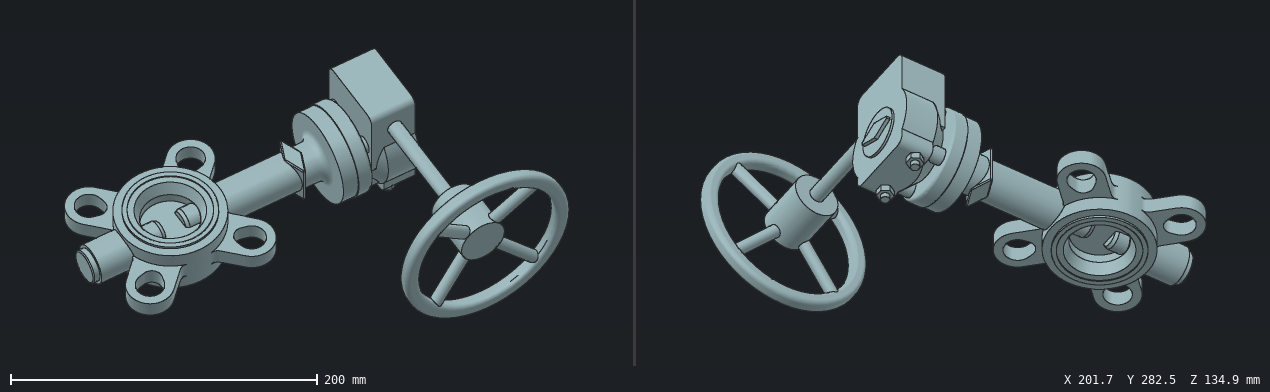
import cadquery as cq
import math


BORE_AXIS = ((0, 0, 0), (0, 0, 1))
STEM_AXIS = ((0, 0, 0), (0, 1, 0))
TOLERANCE = 0.03

BODY_RADIUS = 37.5
BODY_HALF_HEIGHT = 16.7
SEAT_RADIUS = 31.5
SEAT_HALF_HEIGHT = 18.5
LINER_RADIUS = 28.2
LINER_HALF_HEIGHT = 17.5
BORE_MOUTH_RADIUS = 23.7
BORE_RADIUS = 20.0
BORE_HALF_HEIGHT = 9.0

LUG_OFFSET = 38.7
LUG_DIRECTIONS = (45, 135, 225, 315)
LUG_RADIUS = 16.0
LUG_THICKNESS = 12.0
LUG_ROOT_FILLET = 6.0
LUG_HOLE_RADIUS = 9.5
LUG_HOLE_INNER_RADIUS = 7.0
LUG_HOLE_INNER_SHIFT = 4.8

DISC_HALF_THICKNESS = 2.4
STEM_RADIUS = 8.8
STEM_END = 7.5
STEM_CHAMFER_LENGTH = 2.5
STEM_CHAMFER_DEPTH = 1.0

NECK_RADIUS = 14.0
NECK_BOTTOM = -60.7
PLUG_RADIUS = 12.0
PLUG_BOTTOM = -65.5
PLUG_CHAMFER = 0.8
NECK_FLANGE_RADIUS = 32.8
NECK_FLANGE_BOTTOM = 112.2
FLANGE_JOINT = 123.5
NECK_FILLET = 6.0

DIAMOND_HALF_LENGTH = 15.0
DIAMOND_HALF_WIDTH = 6.8
DIAMOND_TIP_HALF_WIDTH = 0.8
NECK_DIAMOND_Y = 93.2
NECK_DIAMOND_HALF_HEIGHT = 14.7
NECK_DIAMOND_CHAMFER = 0.8

MOUNT_RADIUS = 33.5
MOUNT_TOP = 134.5
MOUNT_FILLET = 2.4
PAD_RADIUS = 6.0
PAD_OFFSET = 18.0

BOX_HALF_LENGTH = 27.0
BOX_FRONT = 137.0
BOX_BACK = 170.3
BOX_TOP = 52.3
BOX_BOTTOM = -29.5
BOX_CORNER = 6.0
HUB_RADIUS = 32.8
HUB_FRONT = 146.3
CAP_RADIUS = 17.5
CAP_BACK = 172.0
INDICATOR_BACK = 174.5

SHAFT_Y = 154.5
SHAFT_Z = 34.5
SHAFT_RADIUS = 5.5

NUT_OFFSET = 18.0
NUT_RADIUS = 6.0
NUT_HEIGHT = 4.8
STUD_RADIUS = 3.0
STUD_END = -37.9

WHEEL_RADIUS = 62.5
RIM_SIZE = 10.5
RIM_FILLET = 3.5
WHEEL_FACE = 147.0
WHEEL_HUB_RADIUS = 16.5
WHEEL_HUB_START = 101.0
WHEEL_HUB_END = 139.3
SPOKE_RADIUS = 4.5
SPOKE_LEAN = 10
FIRST_SPOKE = 45
SPOKE_COUNT = 4


def cylinder_y(radius, start, end, x=0, z=0):
    """Cylinder along Y between two Y positions."""
    plane = cq.Workplane("XZ", origin=(0, start, 0))
    return plane.center(x, z).circle(radius).extrude(start - end)


def cylinder_x(radius, start, end, y, z):
    """Cylinder along X between two X positions."""
    return cq.Workplane("YZ", origin=(start, y, z)).circle(radius).extrude(end - start)


def cylinder_z(radius, half_height):
    """Cylinder along Z, centred on the origin."""
    return cq.Workplane("XY").circle(radius).extrude(half_height, both=True)


def diamond(workplane):
    """Diamond outline with its long diagonal along X and narrow square ends."""
    return workplane.polyline([
        (-DIAMOND_HALF_LENGTH, -DIAMOND_TIP_HALF_WIDTH),
        (-DIAMOND_HALF_LENGTH, DIAMOND_TIP_HALF_WIDTH),
        (0, DIAMOND_HALF_WIDTH),
        (DIAMOND_HALF_LENGTH, DIAMOND_TIP_HALF_WIDTH),
        (DIAMOND_HALF_LENGTH, -DIAMOND_TIP_HALF_WIDTH),
        (0, -DIAMOND_HALF_WIDTH),
    ]).close()


def make_lugged_body():
    """Round body with four lugs, rounded where the lug sides run into it."""
    reach = LUG_OFFSET * math.sqrt(2)
    body = cylinder_z(BODY_RADIUS, BODY_HALF_HEIGHT)
    for direction in LUG_DIRECTIONS:
        arm = cq.Workplane("XY").center(reach / 2, 0).rect(reach, 2 * LUG_RADIUS)
        arm = arm.extrude(LUG_THICKNESS / 2, both=True)
        tip = cylinder_z(LUG_RADIUS, LUG_THICKNESS / 2).translate((reach, 0, 0))
        body = body.union(arm.union(tip).rotate(*BORE_AXIS, direction))

    roots = []
    for edge in body.edges("|Z").vals():
        middle = edge.Center()
        on_body = abs(math.hypot(middle.x, middle.y) - BODY_RADIUS) < TOLERANCE
        if on_body and edge.Length() < LUG_THICKNESS + TOLERANCE:
            roots.append(edge)
    return body.newObject(roots).fillet(LUG_ROOT_FILLET)


def make_lug_holes():
    """Egg-shaped holes: two circles and their tangents, the smaller circle nearer to the bore."""
    outer_x = LUG_OFFSET * math.sqrt(2)
    inner_x = outer_x - LUG_HOLE_INNER_SHIFT
    tangent_cos = (LUG_HOLE_RADIUS - LUG_HOLE_INNER_RADIUS) / LUG_HOLE_INNER_SHIFT
    tangent_sin = math.sqrt(1 - tangent_cos**2)
    outer_tangent = (outer_x - LUG_HOLE_RADIUS * tangent_cos, LUG_HOLE_RADIUS * tangent_sin)
    inner_tangent = (inner_x - LUG_HOLE_INNER_RADIUS * tangent_cos, LUG_HOLE_INNER_RADIUS * tangent_sin)
    hole = (
        cq.Workplane("XY")
        .moveTo(inner_tangent[0], -inner_tangent[1])
        .lineTo(outer_tangent[0], -outer_tangent[1])
        .threePointArc((outer_x + LUG_HOLE_RADIUS, 0), outer_tangent)
        .lineTo(*inner_tangent)
        .threePointArc((inner_x - LUG_HOLE_INNER_RADIUS, 0), (inner_tangent[0], -inner_tangent[1]))
        .close()
        .extrude(LUG_THICKNESS, both=True)
    )
    return [hole.rotate(*BORE_AXIS, direction) for direction in LUG_DIRECTIONS]


def make_bore():
    """Bore with a shallow recess and a tapered mouth at both ends."""
    return (
        cq.Workplane("XZ")
        .polyline([
            (0, -SEAT_HALF_HEIGHT),
            (LINER_RADIUS, -SEAT_HALF_HEIGHT),
            (LINER_RADIUS, -LINER_HALF_HEIGHT),
            (BORE_MOUTH_RADIUS, -LINER_HALF_HEIGHT),
            (BORE_RADIUS, -BORE_HALF_HEIGHT),
            (BORE_RADIUS, BORE_HALF_HEIGHT),
            (BORE_MOUTH_RADIUS, LINER_HALF_HEIGHT),
            (LINER_RADIUS, LINER_HALF_HEIGHT),
            (LINER_RADIUS, SEAT_HALF_HEIGHT),
            (0, SEAT_HALF_HEIGHT),
        ])
        .close()
        .revolve()
    )


def make_stem_end():
    """Chamfered stem stub that reaches from the neck into the bore on the +Y side."""
    return (
        cq.Workplane("XY")
        .polyline([
            (0, STEM_END),
            (STEM_RADIUS - STEM_CHAMFER_DEPTH, STEM_END),
            (STEM_RADIUS, STEM_END + STEM_CHAMFER_LENGTH),
            (STEM_RADIUS, BODY_RADIUS),
            (0, BODY_RADIUS),
        ])
        .close()
        .revolve(360, *STEM_AXIS)
    )


def make_neck():
    """Neck with its end plug, its flange and the rounded corner below the flange."""
    return (
        cq.Workplane("XY")
        .moveTo(0, PLUG_BOTTOM)
        .lineTo(PLUG_RADIUS - PLUG_CHAMFER, PLUG_BOTTOM)
        .lineTo(PLUG_RADIUS, PLUG_BOTTOM + PLUG_CHAMFER)
        .lineTo(PLUG_RADIUS, NECK_BOTTOM)
        .lineTo(NECK_RADIUS, NECK_BOTTOM)
        .lineTo(NECK_RADIUS, NECK_FLANGE_BOTTOM - NECK_FILLET)
        .radiusArc((NECK_RADIUS + NECK_FILLET, NECK_FLANGE_BOTTOM), NECK_FILLET)
        .lineTo(NECK_FLANGE_RADIUS, NECK_FLANGE_BOTTOM)
        .lineTo(NECK_FLANGE_RADIUS, FLANGE_JOINT)
        .lineTo(0, FLANGE_JOINT)
        .close()
        .revolve(360, *STEM_AXIS)
    )


def make_valve():
    plaque = diamond(cq.Workplane("XY", origin=(0, NECK_DIAMOND_Y, 0)))
    plaque = plaque.extrude(NECK_DIAMOND_HALF_HEIGHT, both=True)
    plaque = plaque.faces("<Z or >Z").edges().chamfer(NECK_DIAMOND_CHAMFER)

    valve = make_lugged_body()
    valve = valve.union(cylinder_z(SEAT_RADIUS, SEAT_HALF_HEIGHT))
    valve = valve.union(make_neck()).union(plaque)
    for hole in make_lug_holes():
        valve = valve.cut(hole)
    valve = valve.cut(make_bore())

    stem_end = make_stem_end()
    valve = valve.union(cylinder_z(BORE_RADIUS, DISC_HALF_THICKNESS))
    return valve.union(stem_end).union(stem_end.mirror("XZ"))


def make_gearbox():
    """Gear housing on its mounting flange, with cap, indicator and four pads."""
    mount = cylinder_y(MOUNT_RADIUS, FLANGE_JOINT, MOUNT_TOP).faces(">Y").edges().fillet(MOUNT_FILLET)

    box = (
        cq.Workplane("XY")
        .box(2 * BOX_HALF_LENGTH, BOX_BACK - BOX_FRONT, BOX_TOP - BOX_BOTTOM, centered=(True, False, False))
        .translate((0, BOX_FRONT, BOX_BOTTOM))
        .edges("|Y")
        .fillet(BOX_CORNER)
    )
    step = (
        cq.Workplane("XY")
        .box(2 * BOX_HALF_LENGTH, HUB_FRONT - BOX_FRONT, -BOX_BOTTOM, centered=(True, False, False))
        .translate((0, BOX_FRONT, BOX_BOTTOM))
    )

    hub = (
        cq.Workplane("XY")
        .polyline([
            (0, MOUNT_TOP),
            (HUB_RADIUS - (HUB_FRONT - MOUNT_TOP), MOUNT_TOP),
            (HUB_RADIUS, HUB_FRONT),
            (HUB_RADIUS, BOX_BACK),
            (0, BOX_BACK),
        ])
        .close()
        .revolve(360, *STEM_AXIS)
    )
    below_hub = (
        cq.Workplane("XY", origin=(0, BOX_BACK, BOX_BOTTOM))
        .rect(4 * HUB_RADIUS, 4 * HUB_RADIUS)
        .extrude(-HUB_RADIUS)
    )

    cap = cylinder_y(CAP_RADIUS, BOX_BACK, CAP_BACK)
    indicator = diamond(cq.Workplane("XZ", origin=(0, CAP_BACK, 0))).extrude(CAP_BACK - INDICATOR_BACK)

    gearbox = mount.union(box.cut(step)).union(hub.cut(below_hub)).union(cap).union(indicator)
    for x in (-PAD_OFFSET, PAD_OFFSET):
        for z in (-PAD_OFFSET, PAD_OFFSET):
            gearbox = gearbox.union(cylinder_y(PAD_RADIUS, MOUNT_TOP, HUB_FRONT, x, z))
    return gearbox


def make_bottom_nuts():
    """Two hexagon nuts with stud ends below the gear housing."""
    nuts = cq.Workplane("XY", origin=(0, SHAFT_Y, BOX_BOTTOM)).pushPoints([(-NUT_OFFSET, 0), (NUT_OFFSET, 0)])
    studs = nuts.circle(STUD_RADIUS).extrude(STUD_END - BOX_BOTTOM)
    return nuts.polygon(6, 2 * NUT_RADIUS).extrude(-NUT_HEIGHT).union(studs)


def make_handwheel():
    """Handwheel with a hub and four round, leaning spokes."""
    rim_middle = WHEEL_RADIUS - RIM_SIZE / 2
    rim_x = WHEEL_FACE - RIM_SIZE / 2
    rim = (
        cylinder_x(WHEEL_RADIUS, WHEEL_FACE - RIM_SIZE, WHEEL_FACE, SHAFT_Y, SHAFT_Z)
        .cut(cylinder_x(WHEEL_RADIUS - RIM_SIZE, WHEEL_FACE - RIM_SIZE, WHEEL_FACE, SHAFT_Y, SHAFT_Z))
        .edges()
        .fillet(RIM_FILLET)
    )
    wheel = rim.union(cylinder_x(WHEEL_HUB_RADIUS, WHEEL_HUB_START, WHEEL_HUB_END, SHAFT_Y, SHAFT_Z))

    lean = math.radians(SPOKE_LEAN)
    spoke_direction = cq.Vector(math.sin(lean), 0, math.cos(lean))
    spoke_start = cq.Vector(rim_x - rim_middle * math.tan(lean), SHAFT_Y, SHAFT_Z)
    spoke = cq.Workplane(cq.Plane(spoke_start, (0, 1, 0), spoke_direction))
    spoke = spoke.circle(SPOKE_RADIUS).extrude(rim_middle / math.cos(lean))
    shaft_axis = ((0, SHAFT_Y, SHAFT_Z), (1, SHAFT_Y, SHAFT_Z))
    for i in range(SPOKE_COUNT):
        wheel = wheel.union(spoke.rotate(*shaft_axis, FIRST_SPOKE + 360 / SPOKE_COUNT * i))
    return wheel


def make_operator():
    shaft = cylinder_x(SHAFT_RADIUS, 0, WHEEL_HUB_START, SHAFT_Y, SHAFT_Z)
    return make_gearbox().union(make_bottom_nuts()).union(shaft).union(make_handwheel())


valve = make_valve()
operator = make_operator()

result = cq.Compound.makeCompound([valve.solids().val(), operator.solids().val()])